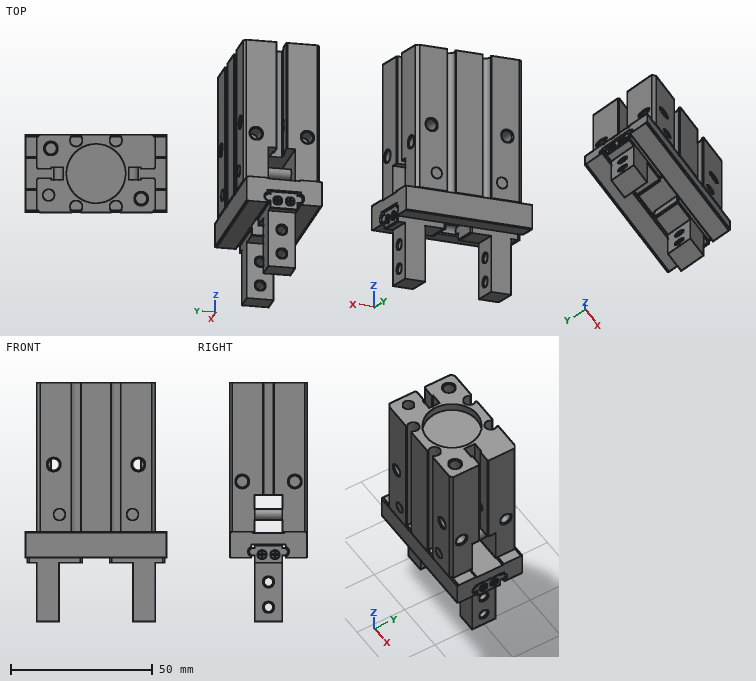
import cadquery as cq

TOTAL_HEIGHT = 84.7
RAIL_BOTTOM = 22.5
RAIL_TOP = 31.8

BLOCK_LENGTH = 42.0
BLOCK_WIDTH = 27.6
BLOCK_CHAMFER_X = 1.3
BLOCK_CHAMFER_Y = 0.9
BLOCK_HEIGHT = TOTAL_HEIGHT - RAIL_TOP

WINDOW_WIDTH = 9.8
WINDOW_TOP = 44.8
PIN_DIAMETER = 4.0
PIN_X = 13.0
PIN_Z = 37.95
PIN_SEAT_DIAMETER = 4.15
PIN_SEAT_DEPTH = 0.1

GROOVE_DIAMETER = 4.4
GROOVE_MOUTH = 3.3
GROOVE_MOUTH_CHAMFER = 0.2
GROOVE_X = 7.0
GROOVE_Y = 11.8

SLOT_MOUTH = 3.4
SLOT_MOUTH_CHAMFER = 0.4
SLOT_INNER_WIDTH = 4.4
SLOT_STEP_X = 15.9
SLOT_FLOOR_X = 11.6

BORE_DIAMETER = 21.0
BORE_DEPTH = 3.1

HOLE_DIAMETER = 4.15
HOLE_CHAMFER = 0.4
HOLE_DEPTH = 6.8
PORT_X = 15.0
PORT_Z = 55.65
PORT_END_Y = 1.95
SIDE_HOLE_Y = 9.3
SIDE_HOLE_Z = 49.6
TOP_HOLE_X = 16.0
TOP_HOLE_Y = 8.9
PLAIN_HOLE_X = 16.8
PLAIN_HOLE_Y = 7.6

RAIL_LENGTH = 50.0
RAIL_WIDTH = 27.4
RAIL_CHAMFER_Y = 0.6
RAIL_CHAMFER_Z = 0.25
RELIEF_WIDTH = 10.75
RELIEF_DEPTH = 0.3
RELIEF_SLOPE = 0.5

GUIDE_TOP = 27.3
GUIDE_WIDTH = 12.2
GUIDE_BULGE_RADIUS = 1.7
GUIDE_BULGE_Y = 5.6
GUIDE_BULGE_Z = 24.8
WING_RADIUS = 1.35
WING_Z = 24.7

FINGER_TOP = 27.0
FINGER_WIDTH = 9.8
SLIDE_INNER_X = 4.8
SLIDE_OUTER_X = 24.4
SLIDE_BOTTOM = 20.8
LEG_LENGTH_X = 8.0
LEG_OUTER_X = BLOCK_LENGTH / 2
LEG_HOLE_DIAMETER = 3.2
LEG_HOLE_CHAMFER = 0.4
LEG_HOLE_LEVELS = (5.1, 14.1)

COVER_THICKNESS = 0.7
COVER_INSET = 0.1
SCREW_DIAMETER = 3.3
SCREW_Y = 2.3
SCREW_Z = 23.7
SCREW_RING_WIDTH = 0.2
SCREW_RING_DEPTH = 0.1
CROSS_LENGTH = 2.0
CROSS_WIDTH = 0.6
CROSS_DEPTH = 0.4


def box(x_range, y_range, z_range):
    """Box between the given limits."""
    sizes = [high - low for low, high in (x_range, y_range, z_range)]
    corner = cq.Vector(x_range[0], y_range[0], z_range[0])
    return cq.Workplane(cq.Solid.makeBox(*sizes, corner))


def rod(diameter, length, start, direction):
    """Cylinder from a start point along a direction."""
    return cq.Workplane(cq.Solid.makeCylinder(diameter / 2, length, cq.Vector(*start), cq.Vector(*direction)))


def drill(diameter, depth, start, direction, chamfer):
    """Cutter for a flat-bottomed hole with a 45 degree chamfer at its mouth."""
    mouth = cq.Solid.makeCone(
        diameter / 2 + chamfer, diameter / 2, chamfer, cq.Vector(*start), cq.Vector(*direction)
    )
    return rod(diameter, depth, start, direction).union(cq.Workplane(mouth))


def along_x(points, x_start, x_end):
    """Prism along X from (y, z) outline points."""
    return cq.Workplane("YZ", origin=(x_start, 0, 0)).polyline(points).close().extrude(x_end - x_start)



def make_block():
    """Upright block with bevelled vertical edges."""
    end_x = BLOCK_LENGTH / 2
    side_y = BLOCK_WIDTH / 2
    inner_x = end_x - BLOCK_CHAMFER_X
    inner_y = side_y - BLOCK_CHAMFER_Y
    outline = [
        (inner_x, side_y), (end_x, inner_y), (end_x, -inner_y), (inner_x, -side_y),
        (-inner_x, -side_y), (-end_x, -inner_y), (-end_x, inner_y), (-inner_x, side_y),
    ]
    return cq.Workplane("XY", origin=(0, 0, RAIL_TOP)).polyline(outline).close().extrude(BLOCK_HEIGHT)


def make_sensor_groove():
    """Cutter for the groove at +X, +Y: a round channel with a bevelled mouth."""
    side_y = BLOCK_WIDTH / 2
    half_mouth = GROOVE_MOUTH / 2
    half_flare = half_mouth + GROOVE_MOUTH_CHAMFER
    flare_y = side_y - GROOVE_MOUTH_CHAMFER
    mouth_outline = [
        (GROOVE_X - half_mouth, GROOVE_Y),
        (GROOVE_X - half_mouth, flare_y),
        (GROOVE_X - half_flare, side_y),
        (GROOVE_X + half_flare, side_y),
        (GROOVE_X + half_mouth, flare_y),
        (GROOVE_X + half_mouth, GROOVE_Y),
    ]
    mouth = cq.Workplane("XY", origin=(0, 0, RAIL_TOP)).polyline(mouth_outline).close().extrude(BLOCK_HEIGHT)
    return mouth.union(rod(GROOVE_DIAMETER, BLOCK_HEIGHT, (GROOVE_X, GROOVE_Y, RAIL_TOP), (0, 0, 1)))


def cut_sensor_grooves(block):
    groove = make_sensor_groove()
    for pair_member in (groove, groove.mirror("YZ")):
        block = block.cut(pair_member).cut(pair_member.mirror("XZ"))
    return block


def cut_end_slots(block):
    end_x = BLOCK_LENGTH / 2
    half_mouth = SLOT_MOUTH / 2
    half_inner = SLOT_INNER_WIDTH / 2
    upper_half = [
        (end_x, half_mouth + SLOT_MOUTH_CHAMFER),
        (end_x - SLOT_MOUTH_CHAMFER, half_mouth),
        (SLOT_STEP_X, half_mouth),
        (SLOT_STEP_X, half_inner),
        (SLOT_FLOOR_X, half_inner),
    ]
    outline = upper_half + [(x, -y) for x, y in reversed(upper_half)]
    slot = cq.Workplane("XY", origin=(0, 0, RAIL_TOP)).polyline(outline).close().extrude(BLOCK_HEIGHT)
    return block.cut(slot).cut(slot.mirror("YZ"))


def cut_window_and_add_pins(block):
    half_width = WINDOW_WIDTH / 2
    half_length = BLOCK_LENGTH / 2
    front_y = BLOCK_WIDTH / 2
    block = block.cut(box((-half_length, half_length), (-half_width, half_width), (RAIL_TOP, WINDOW_TOP)))
    for x in (-PIN_X, PIN_X):
        pin_length = BLOCK_WIDTH - 2 * PIN_SEAT_DEPTH
        block = block.union(rod(PIN_DIAMETER, pin_length, (x, -pin_length / 2, PIN_Z), (0, 1, 0)))
        for side in (-1, 1):
            seat_start = (x, side * front_y, PIN_Z)
            block = block.cut(rod(PIN_SEAT_DIAMETER, PIN_SEAT_DEPTH, seat_start, (0, -side, 0)))
    return block


def cut_housing_holes(block):
    end_x = BLOCK_LENGTH / 2
    front_y = BLOCK_WIDTH / 2
    down = (0, 0, -1)
    for side_x in (-1, 1):
        for side_y in (-1, 1):
            port_start = (side_x * PORT_X, side_y * front_y, PORT_Z)
            port_depth = front_y - PORT_END_Y
            block = block.cut(drill(HOLE_DIAMETER, port_depth, port_start, (0, -side_y, 0), HOLE_CHAMFER))
            side_start = (side_x * end_x, side_y * SIDE_HOLE_Y, SIDE_HOLE_Z)
            block = block.cut(drill(HOLE_DIAMETER, HOLE_DEPTH, side_start, (-side_x, 0, 0), HOLE_CHAMFER))
    for side in (-1, 1):
        top_start = (side * TOP_HOLE_X, -side * TOP_HOLE_Y, TOTAL_HEIGHT)
        block = block.cut(drill(HOLE_DIAMETER, HOLE_DEPTH, top_start, down, HOLE_CHAMFER))
    block = block.cut(rod(HOLE_DIAMETER, HOLE_DEPTH, (-PLAIN_HOLE_X, -PLAIN_HOLE_Y, TOTAL_HEIGHT), down))
    return block.cut(rod(BORE_DIAMETER, BORE_DEPTH, (0, 0, TOTAL_HEIGHT), down))


def make_rail():
    """Rail along X with bevelled long edges, a shallow top relief and the guide groove below."""
    end_x = RAIL_LENGTH / 2
    side_y = RAIL_WIDTH / 2
    inner_y = side_y - RAIL_CHAMFER_Y
    relief_y = RELIEF_WIDTH / 2
    guide_y = GUIDE_WIDTH / 2
    right_half = [
        (relief_y, RAIL_TOP - RELIEF_DEPTH),
        (relief_y + RELIEF_SLOPE, RAIL_TOP),
        (inner_y, RAIL_TOP),
        (side_y, RAIL_TOP - RAIL_CHAMFER_Z),
        (side_y, RAIL_BOTTOM + RAIL_CHAMFER_Z),
        (inner_y, RAIL_BOTTOM),
        (guide_y, RAIL_BOTTOM),
        (guide_y, GUIDE_TOP),
    ]
    outline = right_half + [(-y, z) for y, z in reversed(right_half)]
    rail = along_x(outline, -end_x, end_x)
    for side in (-1, 1):
        bulge_start = (-end_x, side * GUIDE_BULGE_Y, GUIDE_BULGE_Z)
        rail = rail.cut(rod(2 * GUIDE_BULGE_RADIUS, RAIL_LENGTH, bulge_start, (1, 0, 0)))
    return rail


def make_housing():
    block = make_block()
    block = cut_sensor_grooves(block)
    block = cut_end_slots(block)
    block = cut_window_and_add_pins(block)
    block = cut_housing_holes(block)
    return block.union(make_rail())



def make_slide(x_start, x_end, inset):
    """Slide section with round-edged wings, its outline drawn in by the inset."""
    half_width = FINGER_WIDTH / 2 - inset
    bottom = SLIDE_BOTTOM + inset
    top = FINGER_TOP - inset
    radius = WING_RADIUS - inset
    slide = box((x_start, x_end), (-half_width, half_width), (bottom, top))
    slide = slide.union(
        box((x_start, x_end), (-GUIDE_BULGE_Y, GUIDE_BULGE_Y), (WING_Z - radius, WING_Z + radius))
    )
    for y in (-GUIDE_BULGE_Y, GUIDE_BULGE_Y):
        slide = slide.union(rod(2 * radius, x_end - x_start, (x_start, y, WING_Z), (1, 0, 0)))
    return slide


def cut_cover_screws(finger):
    """Ring groove and cross recess of the two screws in the outer end cover."""
    inward = (-1, 0, 0)
    for y in (-SCREW_Y, SCREW_Y):
        start = (SLIDE_OUTER_X, y, SCREW_Z)
        ring = rod(SCREW_DIAMETER, SCREW_RING_DEPTH, start, inward)
        ring = ring.cut(rod(SCREW_DIAMETER - 2 * SCREW_RING_WIDTH, SCREW_RING_DEPTH, start, inward))
        finger = finger.cut(ring)
        for size_y, size_z in ((CROSS_LENGTH, CROSS_WIDTH), (CROSS_WIDTH, CROSS_LENGTH)):
            bar = box(
                (SLIDE_OUTER_X - CROSS_DEPTH, SLIDE_OUTER_X),
                (y - size_y / 2, y + size_y / 2),
                (SCREW_Z - size_z / 2, SCREW_Z + size_z / 2),
            )
            finger = finger.cut(bar)
    return finger


def make_finger():
    """Finger on the +X side: slide, two end covers and a leg with two holes."""
    outer_joint = SLIDE_OUTER_X - COVER_THICKNESS
    inner_joint = SLIDE_INNER_X + COVER_THICKNESS
    leg_inner_x = LEG_OUTER_X - LEG_LENGTH_X
    half_width = FINGER_WIDTH / 2
    finger = make_slide(inner_joint, outer_joint, 0)
    finger = finger.union(make_slide(SLIDE_INNER_X, inner_joint, COVER_INSET))
    finger = finger.union(make_slide(outer_joint, SLIDE_OUTER_X, COVER_INSET))
    finger = finger.union(box((leg_inner_x, LEG_OUTER_X), (-half_width, half_width), (0, SLIDE_BOTTOM)))
    for z in LEG_HOLE_LEVELS:
        for x, direction in ((leg_inner_x, 1), (LEG_OUTER_X, -1)):
            hole = drill(LEG_HOLE_DIAMETER, LEG_LENGTH_X, (x, 0, z), (direction, 0, 0), LEG_HOLE_CHAMFER)
            finger = finger.cut(hole)
    return cut_cover_screws(finger)


housing = make_housing()
fingers = []
for turn in (0, 180):
    fingers.append(make_finger().rotate((0, 0, 0), (0, 0, 1), turn).val())

result = cq.Compound.makeCompound([housing.val(), *fingers])